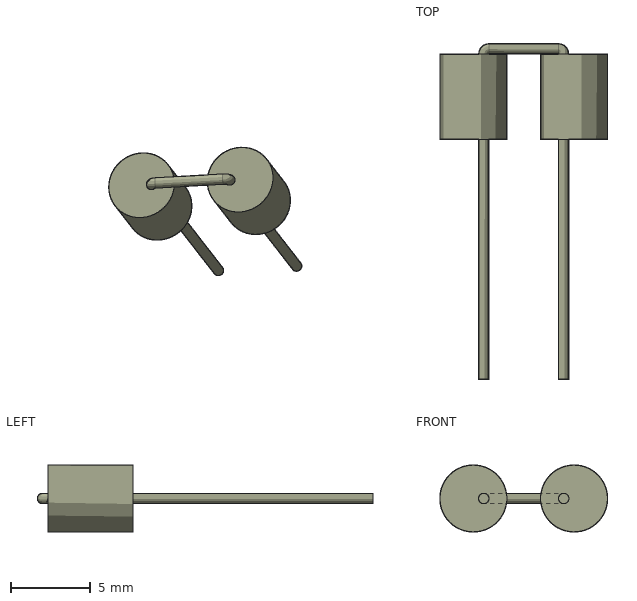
import cadquery as cq

overall_length = 21.0
overall_width = 10.5
bead_diameter = 4.2
bead_length = 5.33
wire_diameter = 0.65
lead_spacing = 5.0
bend_inner_radius = 0.01

bead_radius = bead_diameter / 2
bead_x = (overall_width - bead_diameter) / 2
wire_radius = wire_diameter / 2
lead_x = lead_spacing / 2
bend_radius = bend_inner_radius + wire_radius
lead_length = overall_length - bead_length - bend_radius - wire_radius
bar_y = bead_length + bend_radius
bar_length = lead_spacing - 2 * bend_radius


def make_leaded_bead(side):
    """Round bead with a straight lead out of its front face, offset towards the middle."""
    bead = cq.Workplane("XZ").center(side * bead_x, 0).circle(bead_radius).extrude(-bead_length)
    lead = cq.Workplane("XZ").center(side * lead_x, 0).circle(wire_radius).extrude(lead_length)
    return bead.union(lead)


def make_link():
    """Wire bridge that leaves one bead's back face, turns, crosses and turns into the other."""
    path = (
        cq.Workplane("XY")
        .moveTo(-lead_x, bead_length)
        .radiusArc((-bar_length / 2, bar_y), bend_radius)
        .lineTo(bar_length / 2, bar_y)
        .radiusArc((lead_x, bead_length), bend_radius)
    )
    section = cq.Workplane("XZ", origin=(-lead_x, bead_length, 0)).circle(wire_radius)
    return section.sweep(path)


linked_bead = make_leaded_bead(-1).union(make_link())
plain_bead = make_leaded_bead(1)

result = cq.Compound.makeCompound([linked_bead.val(), plain_bead.val()])